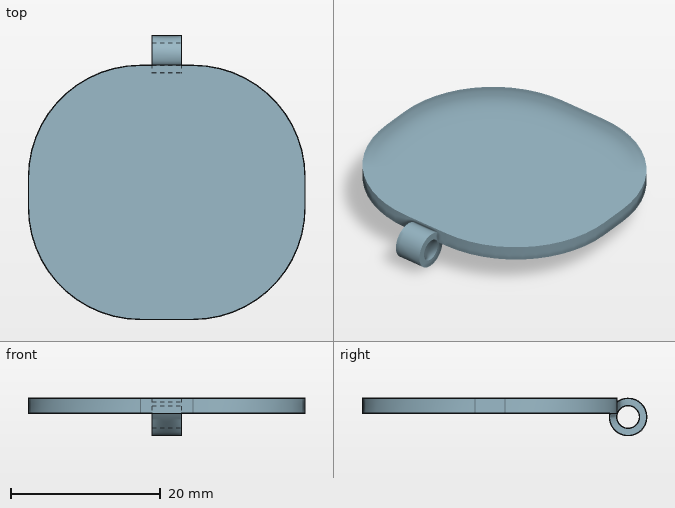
import cadquery as cq

plate_width = 37.0
plate_depth = 34.0
plate_thickness = 2.0
corner_radius = 15.0

overall_depth = 38.0
loop_outer_diameter = 5.0
loop_hole_diameter = 3.0
loop_width = 4.0

loop_radius = loop_outer_diameter / 2
loop_center_y = overall_depth - plate_depth / 2 - loop_radius
loop_center_z = -loop_radius


def make_plate():
    return (
        cq.Workplane("XY")
        .rect(plate_width, plate_depth)
        .extrude(-plate_thickness)
        .edges("|Z")
        .fillet(corner_radius)
    )


def make_loop():
    return (
        cq.Workplane("YZ")
        .center(loop_center_y, loop_center_z)
        .circle(loop_radius)
        .circle(loop_hole_diameter / 2)
        .extrude(loop_width / 2, both=True)
    )


result = make_plate().union(make_loop())